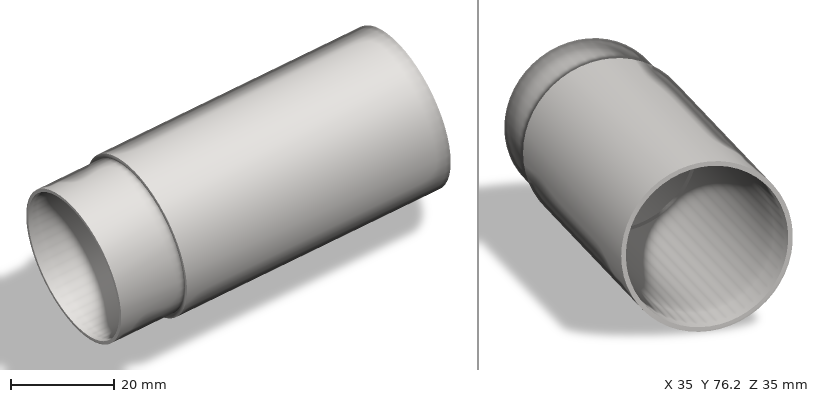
import cadquery as cq

total_length = 76.2
body_diameter = 35.0
spigot_diameter = 33.1
bore_diameter = 31.6
spigot_length = 14.7

front_bore_length = 20.0
rear_bore_diameter = spigot_diameter


def cylinder_along_y(diameter, start, length):
    """Solid cylinder on the Y axis, running toward +Y from start."""
    plane = cq.Workplane("XZ", origin=(0, start, 0))
    return plane.circle(diameter / 2).extrude(-length)


front_end = -total_length / 2
shoulder = front_end + spigot_length

spigot = cylinder_along_y(spigot_diameter, front_end, spigot_length)
body = cylinder_along_y(body_diameter, shoulder, total_length - spigot_length)
front_bore = cylinder_along_y(bore_diameter, front_end, total_length)
rear_bore = cylinder_along_y(
    rear_bore_diameter, front_end + front_bore_length, total_length - front_bore_length
)

result = spigot.union(body).cut(front_bore).cut(rear_bore)